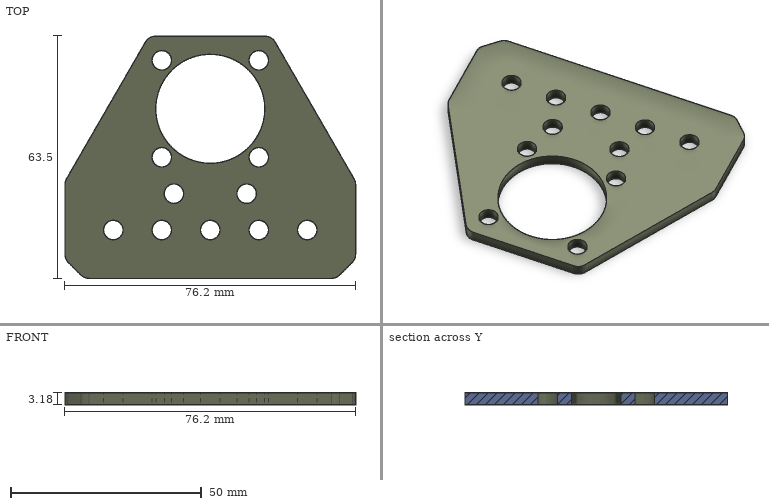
import cadquery as cq
import math

width = 76.2
pitch = width / 6
depth = 5 * pitch
thickness = pitch / 4

shoulder_y = 2 * pitch
side_slope = 60.0
bottom_chamfer = 5.1
corner_radius = 3.05

screw_diameter = 5.0
bore_diameter = 28.5
bore_y = 3.5 * pitch
row_y = pitch
pair_y = 1.75 * pitch
pair_half_spacing = 0.75 * pitch

half_width = width / 2
top_half_width = half_width - (depth - shoulder_y) / math.tan(math.radians(side_slope))


def make_plate():
    """Tapered plate with chamfered bottom corners and all corners rounded."""
    right_side = [
        (half_width - bottom_chamfer, 0),
        (half_width, bottom_chamfer),
        (half_width, shoulder_y),
        (top_half_width, depth),
    ]
    left_side = [(-x, y) for x, y in reversed(right_side)]
    plate = cq.Workplane("XY").polyline(right_side + left_side).close().extrude(thickness)
    return plate.edges("|Z").fillet(corner_radius)


def through_holes(points, diameter):
    """Cylinders that cut through the full plate thickness."""
    return cq.Workplane("XY").pushPoints(points).circle(diameter / 2).extrude(thickness)


bottom_row = [(column * pitch, row_y) for column in range(-2, 3)]
middle_pair = [(side * pair_half_spacing, pair_y) for side in (-1, 1)]
bore_corners = [(i * pitch, bore_y + j * pitch) for i in (-1, 1) for j in (-1, 1)]

result = make_plate()
result = result.cut(through_holes(bottom_row + middle_pair + bore_corners, screw_diameter))
result = result.cut(through_holes([(0, bore_y)], bore_diameter))